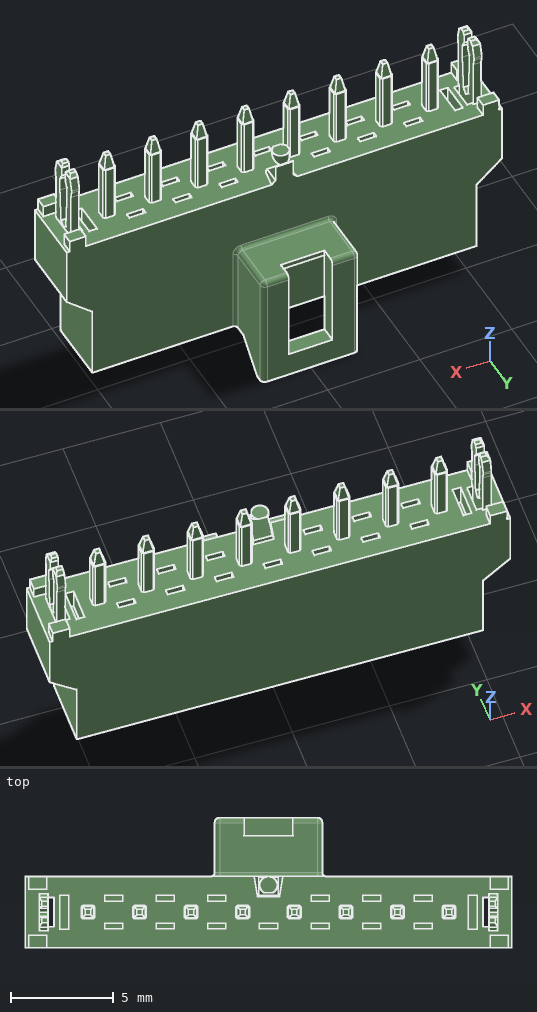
import cadquery as cq


LENGTH = 23.65
DEPTH = 3.48
OVERALL_DEPTH = 6.35
HEIGHT = 8.38
OVERALL_HEIGHT = 13.72
LOWER_LENGTH = 20.87
SHOULDER_Z = -3.22
BEVEL_END_Z = -4.4
SHOULDER_POCKET_Z = -3.38
SHOULDER_POCKET_WALL = 0.28
BACK_Y = DEPTH / 2
LOWER_END_X = LOWER_LENGTH / 2

STANDOFF_LENGTH = 0.88
STANDOFF_DEPTH = 0.62
STANDOFF_HEIGHT = 0.65
STANDOFF_INSET = 0.17

PIN_COUNT = 8
PIN_PITCH = 2.5
PIN_WIDTH = 0.66
PIN_CORNER = 0.1
PIN_TIP_WIDTH = 0.25
PIN_TIP_START_Z = 3.1
PIN_TOP_Z = 3.85

SLOT_LENGTH = 0.88
SLOT_WIDTH = 0.28
SLOT_ROW_SPACING = 1.35
SLOT_DEPTH = 1.18
END_SLOT_X = 9.94
END_SLOT_WIDTH = 0.43
END_SLOT_LENGTH = 1.65

CLIP_OUTER_X = 11.15
CLIP_THICKNESS = 0.43
CLIP_TOP_Z = PIN_TOP_Z
CLIP_HALF_WIDTH = 0.83
CLIP_BARB_HALF_WIDTH = 0.9
CLIP_BARB_START_Z = 2.6
CLIP_BARB_LOW_Z = 2.93
CLIP_BARB_HIGH_Z = 3.05
CLIP_CROWN_OUTER_Y = 0.73
CLIP_CROWN_Z = 3.7
CLIP_TIP_OUTER_Y = 0.52
CLIP_TIP_INNER_Y = 0.28
CLIP_GAP_LOWER_Y = 0.25
CLIP_GAP_POINT_HEIGHT = 0.24
CLIP_GAP_WIDE_Y = 0.38
CLIP_GAP_WIDE_LOW_Z = 2.13
CLIP_GAP_WIDE_HIGH_Z = 2.85
CLIP_GAP_UPPER_Y = 0.2
CLIP_GAP_NARROW_Z = 3.2
CLIP_TOP_CHAMFER_X = 0.12
CLIP_TOP_CHAMFER_Z = 0.15
CLIP_OPENING_WIDTH = 1.42

PEG_DIAMETER = 0.85
PEG_WIDTH = 0.97
PEG_TOP_Z = 1.65
PEG_NOTCH_Z = 1.06
PEG_BASE_DEPTH = 0.92
PEG_HEAD_DEPTH = 0.8
PEG_NECK = 0.05
PEG_FOOT_HEIGHT = 0.21
PEG_FOOT_DEPTH = 1.0
PEG_FOOT_BACK_WIDTH = 1.4
PEG_FOOT_FRONT_WIDTH = 1.06

HOOD_WIDTH = 5.25
HOOD_REACH = OVERALL_DEPTH - DEPTH
HOOD_TOP_Z = -3.43
HOOD_BOTTOM_Z = PIN_TOP_Z - OVERALL_HEIGHT
HOOD_WALL = 0.3
HOOD_BACK_WALL = 0.88
HOOD_STRAIGHT = 0.78
HOOD_LIP = 0.57
HOOD_ROUND = 0.25
HOOD_INNER_ROUND = 0.12
HOOD_FOOT_ROUND = 0.2
HOOD_WINDOW_WIDTH = 2.37
HOOD_WINDOW_BOTTOM_Z = -8.55


def block(x_range, y_range, z_range):
    """Box spanning the given (low, high) ranges."""
    size = [high - low for low, high in (x_range, y_range, z_range)]
    corner = cq.Vector(x_range[0], y_range[0], z_range[0])
    return cq.Workplane("XY").box(*size, centered=False).translate(corner)


def both_ends(right_end):
    """The given right-end shape together with its mirror image."""
    return right_end.union(right_end.mirror("YZ"))


def make_housing():
    """Body with bevelled shoulders, hollowed between their side walls."""
    end_x = LENGTH / 2
    outline = [
        (-end_x, 0), (end_x, 0), (end_x, SHOULDER_Z), (LOWER_END_X, BEVEL_END_Z), (LOWER_END_X, -HEIGHT),
        (-LOWER_END_X, -HEIGHT), (-LOWER_END_X, BEVEL_END_Z), (-end_x, SHOULDER_Z),
    ]
    body = cq.Workplane("XZ").polyline(outline).close().extrude(DEPTH / 2, both=True)
    pocket_y = BACK_Y - SHOULDER_POCKET_WALL
    pocket = block((LOWER_END_X, end_x), (-pocket_y, pocket_y), (-HEIGHT, SHOULDER_POCKET_Z))
    return body.cut(both_ends(pocket))


def make_standoffs():
    end_x = LENGTH / 2 - STANDOFF_INSET
    x_range = (end_x - STANDOFF_LENGTH, end_x)
    z_range = (0, STANDOFF_HEIGHT)
    back = block(x_range, (BACK_Y - STANDOFF_DEPTH, BACK_Y), z_range)
    return both_ends(back.union(back.mirror("XZ")))


def make_pin():
    """Square pin with chamfered corners and a tapered tip."""
    shank = cq.Workplane("XY").rect(PIN_WIDTH, PIN_WIDTH).extrude(PIN_TIP_START_Z)
    shank = shank.edges("|Z").chamfer(PIN_CORNER)
    tip_base_width = PIN_WIDTH - PIN_CORNER
    tip = (
        cq.Workplane("XY").workplane(offset=PIN_TIP_START_Z).rect(tip_base_width, tip_base_width)
        .workplane(offset=PIN_TOP_Z - PIN_TIP_START_Z).rect(PIN_TIP_WIDTH, PIN_TIP_WIDTH)
        .loft(ruled=True)
    )
    return shank.union(tip)


def make_pins():
    pin = make_pin()
    first_x = -PIN_PITCH * (PIN_COUNT - 1) / 2
    pins = cq.Workplane("XY")
    for index in range(PIN_COUNT):
        pins.add(pin.translate((first_x + index * PIN_PITCH, 0, 0)))
    return pins.combine()


def make_top_slots():
    """Slots midway between pins; the peg takes the place of the middle back one."""
    row_y = SLOT_ROW_SPACING / 2
    reach = PIN_COUNT // 2 - 1
    points = []
    for step in range(-reach, reach + 1):
        points.append((step * PIN_PITCH, -row_y))
        if step != 0:
            points.append((step * PIN_PITCH, row_y))
    slots = cq.Workplane("XY").pushPoints(points).rect(SLOT_LENGTH, SLOT_WIDTH).extrude(-SLOT_DEPTH)
    end_slots = (
        cq.Workplane("XY").pushPoints([(-END_SLOT_X, 0), (END_SLOT_X, 0)])
        .rect(END_SLOT_WIDTH, END_SLOT_LENGTH).extrude(-SLOT_DEPTH)
    )
    return slots.union(end_slots)


def make_clip():
    """Right-hand clip: two barbed legs split by a gap with a pointed bottom."""
    half_outline = [
        (CLIP_HALF_WIDTH, 0),
        (CLIP_HALF_WIDTH, CLIP_BARB_START_Z),
        (CLIP_BARB_HALF_WIDTH, CLIP_BARB_LOW_Z),
        (CLIP_BARB_HALF_WIDTH, CLIP_BARB_HIGH_Z),
        (CLIP_CROWN_OUTER_Y, CLIP_CROWN_Z),
        (CLIP_TIP_OUTER_Y, CLIP_TOP_Z),
    ]
    half_gap = [
        (CLIP_GAP_LOWER_Y, CLIP_GAP_POINT_HEIGHT),
        (CLIP_GAP_WIDE_Y, CLIP_GAP_WIDE_LOW_Z),
        (CLIP_GAP_WIDE_Y, CLIP_GAP_WIDE_HIGH_Z),
        (CLIP_GAP_UPPER_Y, CLIP_GAP_NARROW_Z),
        (CLIP_GAP_UPPER_Y, CLIP_CROWN_Z),
        (CLIP_TIP_INNER_Y, CLIP_TOP_Z),
    ]
    inner_x = CLIP_OUTER_X - CLIP_THICKNESS
    plane = cq.Workplane("YZ").workplane(offset=inner_x)

    def mirrored(points):
        return points + [(-y, z) for y, z in reversed(points)]

    legs = plane.polyline(mirrored(half_outline)).close().extrude(CLIP_THICKNESS)
    gap = plane.polyline([(0, 0)] + mirrored(half_gap)).close().extrude(CLIP_THICKNESS)
    chamfer = (
        cq.Workplane("XZ")
        .moveTo(CLIP_OUTER_X, CLIP_TOP_Z)
        .lineTo(CLIP_OUTER_X - CLIP_TOP_CHAMFER_X, CLIP_TOP_Z)
        .lineTo(CLIP_OUTER_X, CLIP_TOP_Z - CLIP_TOP_CHAMFER_Z)
        .close().extrude(DEPTH / 2, both=True)
    )
    return legs.cut(gap).cut(chamfer)


def make_clip_opening():
    """Opening beside the right-hand clip, down into the shoulder pocket."""
    half_width = CLIP_OPENING_WIDTH / 2
    x_range = (LOWER_END_X, CLIP_OUTER_X - CLIP_THICKNESS)
    return block(x_range, (-half_width, half_width), (SHOULDER_POCKET_Z, 0))


def make_peg():
    """Hooked peg: a sloped base and a round head that meet at a thin neck."""
    neck_y = BACK_Y - PEG_NECK
    base_front_y = BACK_Y - PEG_BASE_DEPTH
    head_front_y = BACK_Y - PEG_HEAD_DEPTH
    base = (
        cq.Workplane("YZ")
        .polyline([(BACK_Y, 0), (base_front_y, 0), (base_front_y, PEG_FOOT_HEIGHT),
                   (neck_y, PEG_NOTCH_Z), (BACK_Y, PEG_NOTCH_Z)])
        .close().extrude(PEG_WIDTH / 2, both=True)
    )
    head_limit = (
        cq.Workplane("YZ")
        .polyline([(BACK_Y, PEG_NOTCH_Z), (neck_y, PEG_NOTCH_Z),
                   (head_front_y, PEG_TOP_Z), (BACK_Y, PEG_TOP_Z)])
        .close().extrude(PEG_WIDTH / 2, both=True)
    )
    head = (
        cq.Workplane("XY").workplane(offset=PEG_NOTCH_Z)
        .center(0, BACK_Y - PEG_DIAMETER / 2).circle(PEG_DIAMETER / 2).extrude(PEG_TOP_Z - PEG_NOTCH_Z)
    )
    foot_front_y = BACK_Y - PEG_FOOT_DEPTH
    foot_back = PEG_FOOT_BACK_WIDTH / 2
    foot_front = PEG_FOOT_FRONT_WIDTH / 2
    peg_side = PEG_WIDTH / 2
    foot = (
        cq.Workplane("XY")
        .polyline([(-foot_back, BACK_Y), (-foot_front, foot_front_y), (foot_front, foot_front_y),
                   (foot_back, BACK_Y)]).close()
        .workplane(offset=PEG_FOOT_HEIGHT)
        .polyline([(-peg_side, BACK_Y), (-peg_side, base_front_y), (peg_side, base_front_y),
                   (peg_side, BACK_Y)]).close()
        .loft(ruled=True)
    )
    return base.union(head.intersect(head_limit)).union(foot)


def add_hood(housing):
    """Add the latch hood to the back face: roofed, open below, with a window through its back wall."""
    side_x = HOOD_WIDTH / 2
    back_y = BACK_Y + HOOD_REACH
    hood = (
        cq.Workplane("YZ")
        .polyline([(BACK_Y, HOOD_TOP_Z), (back_y, HOOD_TOP_Z), (back_y, HOOD_BOTTOM_Z),
                   (back_y - HOOD_LIP, HOOD_BOTTOM_Z), (BACK_Y + HOOD_STRAIGHT, -HEIGHT), (BACK_Y, -HEIGHT)])
        .close().extrude(side_x, both=True)
    )
    hood = hood.edges("(>Z and (not <Y)) or (>Y and |Z)").fillet(HOOD_ROUND)

    housing = housing.union(hood)
    foot_box = cq.selectors.BoxSelector(
        (-side_x - HOOD_ROUND, BACK_Y - HOOD_FOOT_ROUND, -HEIGHT + HOOD_FOOT_ROUND),
        (side_x + HOOD_ROUND, BACK_Y + HOOD_FOOT_ROUND, HOOD_TOP_Z + HOOD_ROUND),
    )
    housing = housing.edges(foot_box).fillet(HOOD_FOOT_ROUND)

    inner_x = side_x - HOOD_WALL
    inner_y = back_y - HOOD_BACK_WALL
    cavity = block((-inner_x, inner_x), (BACK_Y, inner_y), (HOOD_BOTTOM_Z, HOOD_TOP_Z - HOOD_WALL))
    cavity = cavity.edges("|Z and >Y").fillet(HOOD_INNER_ROUND)
    window_x = HOOD_WINDOW_WIDTH / 2
    window = block((-window_x, window_x), (inner_y, back_y), (HOOD_WINDOW_BOTTOM_Z, HOOD_TOP_Z))
    return housing.cut(cavity).cut(window)


result = (
    add_hood(make_housing())
    .cut(make_top_slots())
    .cut(both_ends(make_clip_opening()))
    .union(make_standoffs())
    .union(make_pins())
    .union(both_ends(make_clip()))
    .union(make_peg())
)